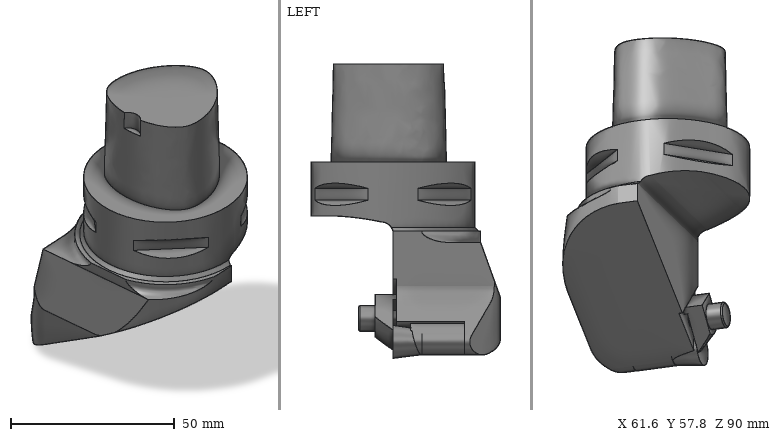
import cadquery as cq
import math


SHANK_HEIGHT = 30.0
SHANK_BASE_RADIUS = 17.6
SHANK_TOP_RADIUS = 16.9
LOBE_HEIGHT = 1.3
LOBE_POINTS = 24
KEYWAY_RADIUS = 4.0
KEYWAY_DEPTH = 1.9
KEYWAY_HEIGHT = 5.7

FLANGE_RADIUS = 25.0
NECK_Z = -20.0
COLLAR_Z = -21.15
NECK_FOOT_RADIUS = FLANGE_RADIUS + NECK_Z - COLLAR_Z
COLLAR_RADIUS = 27.7
HEAD_TOP_Z = -24.6
COLLAR_FILLET = COLLAR_Z - HEAD_TOP_Z

GRIP_SLOT_Z = -9.9
GRIP_SLOT_HALF_FLOOR = 1.8
GRIP_SLOT_DEPTH = 2.8
GRIP_SLOT_FLARE = 30

INSERT_X, INSERT_Z = -30.0, -55.0
INSERT_RADIUS = 5.0
INSERT_THICKNESS = 8.9
INSERT_RELIEF = 7

HEAD_LEFT = -26.3
HEAD_RIGHT = 26.6
HEAD_FRONT = -32.8
HEAD_BULGE = 26.2
HEAD_CORNER_FILLET = 10.0
CHAMFER_START_X = -24.6
FRONT_TOP_Y = -26.8
FRONT_SLOPE_END_Z = -41.4

NOSE_RADIUS = 4.0
ARM_ANGLE = 60
LOWER_ANGLE = 30
ARM_FILLET = 10.0
RELIEF_END_Y = -21.9
RELIEF_RADIUS = 4.1
RELIEF_FLAT = 3.7
POCKET_DEPTH = 5.4

RECESS_DEPTH = 1.1
RECESS_WALL = 16.2

CLAMP_HALF_WIDTH = 4.3
CLAMP_THICKNESS = 5.4
CLAMP_HEEL = 2.25
CLAMP_NOSE_CENTRE = 11.3
CLAMP_NOSE_RADIUS = 11.3
CLAMP_NOSE_TAPER = 42
SCREW_DISTANCE = 10.2
SCREW_HEAD_RADIUS = 4.0
SCREW_HEAD_HEIGHT = 5.1
SCREW_HEAD_CHAMFER = 0.45
SCREW_SHANK_RADIUS = 2.4

CLEARANCE = 90.0


def along(point, angle, distance):
    """The point at a distance from another, in a direction given in degrees."""
    turn = math.radians(angle)
    return (point[0] + distance * math.cos(turn), point[1] + distance * math.sin(turn))


def lobed_section(radius):
    """Points of a three-lobed curve of constant width with one lobe toward +Y."""
    points = []
    for i in range(LOBE_POINTS):
        turn = 2 * math.pi * i / LOBE_POINTS
        reach = radius - LOBE_HEIGHT * math.sin(3 * turn)
        slide = -3 * LOBE_HEIGHT * math.cos(3 * turn)
        points.append((
            reach * math.cos(turn) - slide * math.sin(turn),
            reach * math.sin(turn) + slide * math.cos(turn),
        ))
    return points


def make_shank():
    shank = (
        cq.Workplane("XY")
        .spline(lobed_section(SHANK_BASE_RADIUS), periodic=True)
        .close()
        .workplane(offset=SHANK_HEIGHT)
        .spline(lobed_section(SHANK_TOP_RADIUS), periodic=True)
        .close()
        .loft(ruled=True)
    )
    front_y = LOBE_HEIGHT - SHANK_TOP_RADIUS
    keyway = (
        cq.Workplane("XY", origin=(0, 0, SHANK_HEIGHT - KEYWAY_HEIGHT))
        .center(0, front_y + KEYWAY_DEPTH - KEYWAY_RADIUS)
        .circle(KEYWAY_RADIUS)
        .extrude(KEYWAY_HEIGHT)
    )
    return shank.cut(keyway)


def make_grip_slot():
    """A straight slot with flared sides across the +X side of the flange."""
    floor_x = FLANGE_RADIUS - GRIP_SLOT_DEPTH
    flare = math.tan(math.radians(GRIP_SLOT_FLARE))
    mouth = GRIP_SLOT_HALF_FLOOR + 2 * GRIP_SLOT_DEPTH * flare
    mouth_x = FLANGE_RADIUS + GRIP_SLOT_DEPTH
    return (
        cq.Workplane("XZ")
        .polyline([
            (floor_x, GRIP_SLOT_Z - GRIP_SLOT_HALF_FLOOR),
            (mouth_x, GRIP_SLOT_Z - mouth),
            (mouth_x, GRIP_SLOT_Z + mouth),
            (floor_x, GRIP_SLOT_Z + GRIP_SLOT_HALF_FLOOR),
        ])
        .close()
        .extrude(FLANGE_RADIUS, both=True)
    )


def make_flange():
    flange = (
        cq.Workplane("XZ")
        .polyline([
            (0, 0),
            (FLANGE_RADIUS, 0),
            (FLANGE_RADIUS, NECK_Z),
            (NECK_FOOT_RADIUS, COLLAR_Z),
            (0, COLLAR_Z),
        ])
        .close()
        .revolve(360, (0, 0, 0), (0, 1, 0))
    )
    slot = make_grip_slot()
    for angle in (45, 135, 225, 315):
        flange = flange.cut(slot.rotate((0, 0, 0), (0, 0, 1), angle))
    return flange


NOSE = (INSERT_X, INSERT_Z)
UPPER_NORMAL = ARM_ANGLE + 90
LOWER_NORMAL = LOWER_ANGLE - 90
NOSE_UPPER = along(NOSE, UPPER_NORMAL, NOSE_RADIUS)
NOSE_LOWER = along(NOSE, LOWER_NORMAL, NOSE_RADIUS)
RELIEF_CENTRE = along(NOSE, LOWER_NORMAL, NOSE_RADIUS - RELIEF_RADIUS)
ELBOW = (
    HEAD_LEFT,
    NOSE_UPPER[1] + (HEAD_LEFT - NOSE_UPPER[0]) * math.tan(math.radians(ARM_ANGLE)),
)


def start_head_outline(near_y):
    """The outline across Y from the nose's lower end round the head to the arm's upper side."""
    reach = (HEAD_RIGHT - NOSE_LOWER[0]) / math.cos(math.radians(LOWER_ANGLE))
    right_foot = along(NOSE_LOWER, LOWER_ANGLE, reach)
    setback = ARM_FILLET * math.tan(math.radians((90 - ARM_ANGLE) / 2))
    fillet_top = (HEAD_LEFT, ELBOW[1] + setback)
    fillet_centre = (HEAD_LEFT - ARM_FILLET, fillet_top[1])
    return (
        cq.Workplane("XZ", origin=(0, near_y, 0))
        .moveTo(*NOSE_LOWER)
        .lineTo(*right_foot)
        .lineTo(right_foot[0], COLLAR_Z)
        .lineTo(HEAD_LEFT, COLLAR_Z)
        .lineTo(*fillet_top)
        .threePointArc(
            along(fillet_centre, (ARM_ANGLE - 90) / 2, ARM_FILLET),
            along(fillet_centre, ARM_ANGLE - 90, ARM_FILLET),
        )
    )


def make_plain_arm():
    nose_left = along(NOSE, (UPPER_NORMAL + LOWER_NORMAL + 360) / 2, NOSE_RADIUS)
    return (
        start_head_outline(RELIEF_END_Y)
        .lineTo(*NOSE_UPPER)
        .threePointArc(nose_left, NOSE_LOWER)
        .close()
        .extrude(RELIEF_END_Y - HEAD_FRONT)
    )


def make_relief():
    """The arm with a ledge and a 45 degree flat that lead to the relieved nose."""
    flat_angle = 45
    flat_normal = flat_angle + 90
    nose_top = along(RELIEF_CENTRE, flat_normal, RELIEF_RADIUS)
    nose_middle = along(RELIEF_CENTRE, (flat_normal + LOWER_NORMAL + 360) / 2, RELIEF_RADIUS)
    nose_bottom = along(RELIEF_CENTRE, LOWER_NORMAL, RELIEF_RADIUS)
    ledge_foot = along(nose_top, flat_angle, RELIEF_FLAT)
    turn = math.radians(UPPER_NORMAL)
    buried = (NOSE_UPPER[0] - ledge_foot[0]) * math.cos(turn)
    buried += (NOSE_UPPER[1] - ledge_foot[1]) * math.sin(turn)
    ledge_depth = buried / math.cos(math.radians(UPPER_NORMAL - flat_normal))
    return (
        start_head_outline(0)
        .lineTo(*along(ledge_foot, flat_normal, ledge_depth))
        .lineTo(*ledge_foot)
        .lineTo(*nose_top)
        .threePointArc(nose_middle, nose_bottom)
        .close()
        .extrude(-RELIEF_END_Y)
    )


def make_pocket():
    """The space above the insert's upper left side, up to the ledge."""
    corner_plane = cq.Plane(
        origin=(RELIEF_CENTRE[0], 0, RELIEF_CENTRE[1]),
        xDir=(1, 0, 1),
        normal=(0, -1, 0),
    )
    return (
        cq.Workplane(corner_plane)
        .rect(RELIEF_FLAT, 2 * RELIEF_RADIUS, centered=False)
        .extrude(POCKET_DEPTH)
    )


def make_plan():
    """The head's outline seen along Z, with its chamfered and rounded front corner."""
    arc_y = HEAD_FRONT + HEAD_RIGHT
    half_turn = 45 / 2
    setback = HEAD_CORNER_FILLET * math.tan(math.radians(half_turn))
    corner = (CHAMFER_START_X, HEAD_FRONT)
    fillet_start = (corner[0] + setback, HEAD_FRONT)
    fillet_centre = (fillet_start[0], HEAD_FRONT + HEAD_CORNER_FILLET)
    return (
        cq.Workplane("XY", origin=(0, 0, -CLEARANCE))
        .moveTo(HEAD_RIGHT, 0)
        .lineTo(HEAD_RIGHT, arc_y)
        .threePointArc(along((0, arc_y), -45, HEAD_BULGE), (0, HEAD_FRONT))
        .lineTo(*fillet_start)
        .threePointArc(
            along(fillet_centre, 270 - half_turn, HEAD_CORNER_FILLET),
            along(fillet_centre, 270 - 2 * half_turn, HEAD_CORNER_FILLET),
        )
        .lineTo(corner[0] + HEAD_FRONT, 0)
        .close()
        .extrude(CLEARANCE)
    )


def make_front_limit():
    """Everything behind the head's front face, which slopes outward from the head's top."""
    return (
        cq.Workplane("YZ")
        .polyline([
            (0, 0),
            (FRONT_TOP_Y, 0),
            (FRONT_TOP_Y, HEAD_TOP_Z),
            (HEAD_FRONT, FRONT_SLOPE_END_Z),
            (HEAD_FRONT, -CLEARANCE),
            (0, -CLEARANCE),
        ])
        .close()
        .extrude(CLEARANCE, both=True)
    )


def make_collar_limit():
    """A round body that shapes the head's top: a collar with a concave fillet, then a flat."""
    fillet_centre = (COLLAR_RADIUS + COLLAR_FILLET, COLLAR_Z)
    return (
        cq.Workplane("XZ")
        .moveTo(0, COLLAR_Z)
        .lineTo(COLLAR_RADIUS, COLLAR_Z)
        .threePointArc(
            along(fillet_centre, 225, COLLAR_FILLET),
            (fillet_centre[0], HEAD_TOP_Z),
        )
        .lineTo(CLEARANCE, HEAD_TOP_Z)
        .lineTo(CLEARANCE, -CLEARANCE)
        .lineTo(0, -CLEARANCE)
        .close()
        .revolve(360, (0, 0, 0), (0, 1, 0))
    )


def make_head():
    head = make_plain_arm().union(make_relief())
    for limit in (make_plan(), make_front_limit(), make_collar_limit()):
        head = head.intersect(limit)
    return head


def make_back_clearance():
    """The space under the back half of the flange, behind the rake plane."""
    corner_middle = (0.9, -19.5)
    arch_foot = (3.6, -18.4)
    arch_middle = (10.35, -17.2)
    arch_top = (17.55, -16.6)
    return (
        cq.Workplane("YZ")
        .moveTo(0, -CLEARANCE)
        .lineTo(0, COLLAR_Z)
        .threePointArc(corner_middle, arch_foot)
        .threePointArc(arch_middle, arch_top)
        .lineTo(CLEARANCE, arch_top[1])
        .lineTo(CLEARANCE, -CLEARANCE)
        .close()
        .extrude(CLEARANCE, both=True)
    )


def clamp_plane(y):
    """A plane across Y with its origin on the insert axis and its x axis along the clamp."""
    return cq.Workplane(cq.Plane(origin=(INSERT_X, y, INSERT_Z), xDir=(1, 0, 1), normal=(0, 1, 0)))


def make_recess():
    return (
        clamp_plane(-RECESS_DEPTH)
        .center(RECESS_WALL - CLEARANCE / 2, 0)
        .rect(CLEARANCE, CLEARANCE)
        .extrude(RECESS_DEPTH)
    )


def make_clamp():
    width = 2 * CLAMP_HALF_WIDTH
    bar = (
        clamp_plane(0)
        .center(RECESS_WALL / 2, 0)
        .rect(RECESS_WALL, width)
        .extrude(CLAMP_THICKNESS)
    )
    nose_cone = (
        clamp_plane(0)
        .center(CLAMP_NOSE_CENTRE, 0)
        .circle(CLAMP_NOSE_RADIUS)
        .extrude(CLAMP_THICKNESS, taper=CLAMP_NOSE_TAPER)
    )
    heel = (
        clamp_plane(-RECESS_DEPTH)
        .center(RECESS_WALL - CLAMP_HEEL / 2, 0)
        .rect(CLAMP_HEEL, width)
        .extrude(RECESS_DEPTH)
    )
    screw_shank = (
        clamp_plane(-RECESS_DEPTH)
        .center(SCREW_DISTANCE, 0)
        .circle(SCREW_SHANK_RADIUS)
        .extrude(RECESS_DEPTH)
    )
    screw_head = (
        clamp_plane(CLAMP_THICKNESS)
        .center(SCREW_DISTANCE, 0)
        .circle(SCREW_HEAD_RADIUS)
        .extrude(SCREW_HEAD_HEIGHT)
        .faces(">Y")
        .chamfer(SCREW_HEAD_CHAMFER)
    )
    return bar.intersect(nose_cone).union(heel).union(screw_shank).union(screw_head)


def make_insert():
    """A round insert: its full radius is on the rake plane and it narrows toward -Y."""
    return (
        cq.Workplane("XZ")
        .center(INSERT_X, INSERT_Z)
        .circle(INSERT_RADIUS)
        .extrude(INSERT_THICKNESS, taper=INSERT_RELIEF)
    )


def make_holder(insert):
    holder = make_flange().union(make_head()).cut(make_back_clearance())
    holder = holder.cut(make_recess()).cut(make_pocket()).cut(insert)
    return holder.union(make_shank()).union(make_clamp()).solids()


insert = make_insert()
holder = make_holder(insert)

result = cq.Compound.makeCompound([holder.val(), insert.val()])